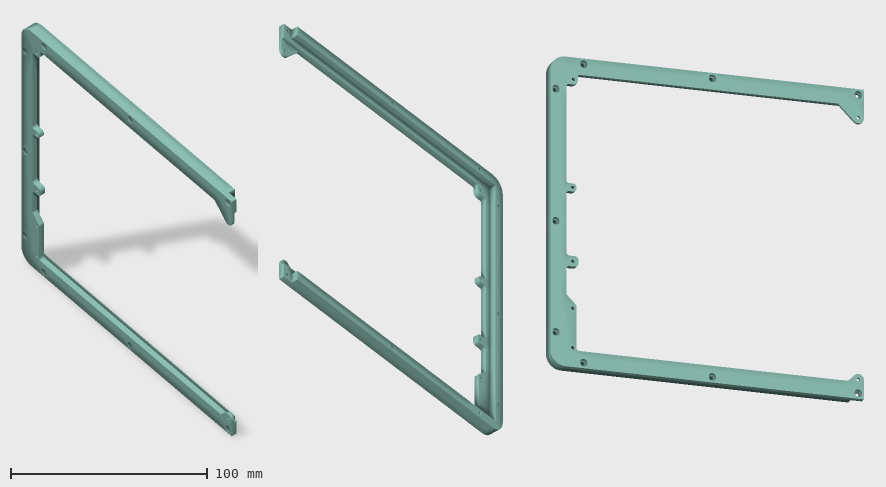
import cadquery as cq
import math

LENGTH = 167.8
DEPTH = 7.0
HEIGHT = 167.0
CORNER_RADIUS = 8.0

PLATE_THICKNESS = 3.2
POST_WIDTH = 8.7
RAIL_WIDTH = 9.0
WALL_WIDTH = 5.7
WALL_LENGTH = 161.7

SCREW_DIAMETER = 2.0
COUNTERBORE_DIAMETER = 4.0
COUNTERBORE_DEPTH = 2.0
SCREW_INSET = 3.0
SCREW_CORNER_OFFSET = 18.0
RAIL_MIDDLE_SCREW_X = 86.7
POST_MIDDLE_SCREW_Z = 77.8

TAB_HOLE_DIAMETER = 1.8
TAB_HOLE_X = 12.0

TABS = [(96.8, 14.1, 2.2, 1.3), (57.0, 15.1, 2.9, 1.7)]
TAB_TIP_RADIUS = 2.0

CORNER_TAB_RIGHT = 14.8
CORNER_TAB_BOTTOM = 152.3
CORNER_TAB_HOLE = (12.4, 155.0)
CORNER_TAB_RADIUS = 2.5
INNER_RADIUS = 1.3

PAD_RIGHT = 14.1
PAD_SLOPE_TOP = 38.8
PAD_HOLES_Z = (10.4, 31.7)

LUG_RADIUS = 3.0
LUG_THICKNESS = 1.7
LUG_X = LENGTH - LUG_RADIUS
UPPER_LUG_Z = 151.5
LOWER_LUG_Z = 10.4


def front_plane(y):
    """XZ plane at depth y whose extrusions run towards +Y."""
    return cq.Workplane(cq.Plane((0, y, 0), xDir=(1, 0, 0), normal=(0, -1, 0)))


def plate_box(x_min, x_max, z_min, z_max, y_min=0.0, y_max=PLATE_THICKNESS):
    size = (x_max - x_min, y_max - y_min, z_max - z_min)
    return cq.Workplane("XY").box(*size, centered=False).translate((x_min, y_min, z_min))


def round_corner(body, x, z, radius):
    """Round the edge along Y that passes through (x, z)."""
    reach = 0.08
    selector = cq.selectors.BoxSelector((x - reach, -1.7, z - reach), (x + reach, DEPTH + 1.7, z + reach))
    return body.edges("|Y").edges(selector).fillet(radius)


def c_frame(length, post_width, rail_width, y_min, y_max):
    body = plate_box(0, length, 0, HEIGHT, y_min, y_max)
    body = body.edges("|Y and <X").fillet(CORNER_RADIUS)
    opening = plate_box(post_width, length + 1.7, rail_width, HEIGHT - rail_width, y_min, y_max)
    return body.cut(opening)


def lug(center_z, rail_edge_z, toward_opening):
    """Round lug on a rail end, joined to the rail by a tangent 45 degree flank."""
    tangent_offset = LUG_RADIUS * math.sin(math.radians(45))
    tangent = (LUG_X - tangent_offset, center_z + toward_opening * tangent_offset)
    flank_start_x = tangent[0] - abs(tangent[1] - rail_edge_z)
    web = (
        front_plane(0)
        .moveTo(flank_start_x, rail_edge_z)
        .lineTo(*tangent)
        .lineTo(LUG_X, center_z)
        .lineTo(LENGTH, center_z)
        .lineTo(LENGTH, rail_edge_z)
        .close()
        .extrude(-LUG_THICKNESS)
    )
    tip = front_plane(0).center(LUG_X, center_z).circle(LUG_RADIUS).extrude(-LUG_THICKNESS)
    return web.union(tip)


def pad():
    slope_height = PAD_RIGHT - POST_WIDTH
    return (
        front_plane(0)
        .moveTo(POST_WIDTH, RAIL_WIDTH)
        .lineTo(PAD_RIGHT, RAIL_WIDTH)
        .lineTo(PAD_RIGHT, PAD_SLOPE_TOP - slope_height)
        .lineTo(POST_WIDTH, PAD_SLOPE_TOP)
        .close()
        .extrude(-PLATE_THICKNESS)
    )


def front_plate():
    rail_top_edge = HEIGHT - RAIL_WIDTH
    plate = c_frame(LENGTH, POST_WIDTH, RAIL_WIDTH, 0, PLATE_THICKNESS)
    plate = plate.union(lug(UPPER_LUG_Z, rail_top_edge, -1))
    plate = plate.union(lug(LOWER_LUG_Z, RAIL_WIDTH, 1))
    plate = plate.union(pad())
    plate = round_corner(plate, PAD_RIGHT, RAIL_WIDTH, INNER_RADIUS)

    plate = plate.union(plate_box(POST_WIDTH, CORNER_TAB_RIGHT, CORNER_TAB_BOTTOM, rail_top_edge))
    plate = round_corner(plate, CORNER_TAB_RIGHT, CORNER_TAB_BOTTOM, CORNER_TAB_RADIUS)
    plate = round_corner(plate, CORNER_TAB_RIGHT, rail_top_edge, INNER_RADIUS)
    plate = round_corner(plate, POST_WIDTH, CORNER_TAB_BOTTOM, INNER_RADIUS)

    for center_z, tip_x, half_height, foot_radius in TABS:
        edges_z = (center_z - half_height, center_z + half_height)
        plate = plate.union(plate_box(POST_WIDTH, tip_x, *edges_z))
        for z in edges_z:
            plate = round_corner(plate, tip_x, z, TAB_TIP_RADIUS)
            plate = round_corner(plate, POST_WIDTH, z, foot_radius)
    return plate


def drill(body, points, diameter, depth):
    return body.cut(front_plane(0).pushPoints(points).circle(diameter / 2).extrude(-depth))


screw_points = [
    (x, z)
    for x in (SCREW_CORNER_OFFSET, RAIL_MIDDLE_SCREW_X, LENGTH - SCREW_INSET)
    for z in (SCREW_INSET, HEIGHT - SCREW_INSET)
]
screw_points += [
    (SCREW_INSET, z)
    for z in (SCREW_CORNER_OFFSET, POST_MIDDLE_SCREW_Z, HEIGHT - SCREW_CORNER_OFFSET)
]
plain_hole_points = [CORNER_TAB_HOLE, (LUG_X, UPPER_LUG_Z), (LUG_X, LOWER_LUG_Z)]
plain_hole_points += [(TAB_HOLE_X, tab[0]) for tab in TABS]
plain_hole_points += [(TAB_HOLE_X, z) for z in PAD_HOLES_Z]

rear_wall = c_frame(WALL_LENGTH, WALL_WIDTH, WALL_WIDTH, PLATE_THICKNESS, DEPTH)
result = front_plate().union(rear_wall)
result = drill(result, screw_points, SCREW_DIAMETER, DEPTH)
result = drill(result, screw_points, COUNTERBORE_DIAMETER, COUNTERBORE_DEPTH)
result = drill(result, plain_hole_points, TAB_HOLE_DIAMETER, DEPTH)